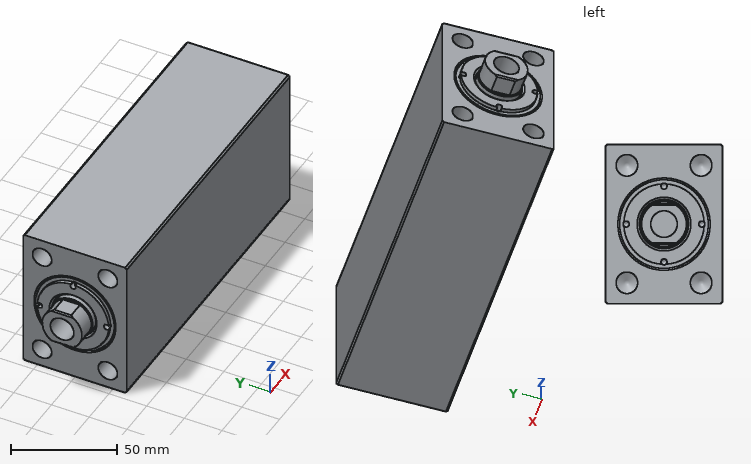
import cadquery as cq

total_length = 178.0
housing_width = 55.0
housing_height = 75.0
front_reach = 13.0
housing_length = total_length - front_reach
edge_chamfer = 0.9

mount_hole_dia = 10.1
mount_hole_depth = 25.0
mount_pitch_y = 34.9
mount_pitch_z = 55.2
drill_tip_ratio = 0.6

cover_radius = 20.8
cover_depth = 35.6
boss_radius = 18.9
boss_height = 2.0
bore_clearance = 0.5
pocket_chamfer = 0.9
bore_chamfer = 1.0

spanner_hole_dia = 2.8
spanner_hole_depth = 3.5
spanner_hole_count = 4
spanner_circle_radius = 17.8

rod_radius = 11.0
shoulder_chamfer = 0.5
tip_radius = rod_radius - shoulder_chamfer
tip_length = 9.5
flat_distance = 19.0
flat_chamfer = 0.7
rod_hole_dia = 12.5
rod_hole_depth = 17.8


def disc(radius, start, end):
    """Round bar along X from start to end."""
    return cq.Workplane("YZ", origin=(start, 0, 0)).circle(radius).extrude(end - start)


def drill(diameter, start, depth, y, z):
    """Drilled hole along +X with a conical tip beyond its full-diameter depth."""
    radius = diameter / 2
    tip = radius * drill_tip_ratio
    outline = (
        cq.Workplane("XY")
        .polyline([(0, 0), (0, radius), (depth, radius), (depth + tip, 0)])
        .close()
    )
    return outline.revolve(360, (0, 0, 0), (1, 0, 0)).translate((start, y, z))


def make_housing():
    """Block with a round pocket for the cover and four blind mounting holes."""
    block = (
        cq.Workplane("XY")
        .box(housing_length, housing_width, housing_height)
        .edges("|X")
        .chamfer(edge_chamfer)
        .translate((housing_length / 2, 0, 0))
    )
    block = block.cut(disc(cover_radius, 0, cover_depth))
    block = block.faces("<X").edges("%CIRCLE").chamfer(pocket_chamfer)
    for side_y in (-1, 1):
        for side_z in (-1, 1):
            hole_y = side_y * mount_pitch_y / 2
            hole_z = side_z * mount_pitch_z / 2
            block = block.cut(drill(mount_hole_dia, 0, mount_hole_depth, hole_y, hole_z))
    return block


def make_cover():
    """Stepped ring around the rod, with a flared bore mouth and spanner holes."""
    ring = disc(cover_radius, 0, cover_depth).union(disc(boss_radius, -boss_height, 0))
    ring = ring.cut(disc(rod_radius + bore_clearance, -boss_height, cover_depth))
    ring = ring.faces("<X").edges(cq.selectors.RadiusNthSelector(0)).chamfer(bore_chamfer)
    hole = drill(spanner_hole_dia, -boss_height, spanner_hole_depth, spanner_circle_radius, 0)
    for index in range(spanner_hole_count):
        angle = index * 360 / spanner_hole_count
        ring = ring.cut(hole.rotate((0, 0, 0), (1, 0, 0), angle))
    return ring


def make_rod():
    """Rod with a turned-down tip, two wrench flats and a flat-bottomed end hole."""
    tip_start = -front_reach
    shoulder = tip_start + tip_length
    body = disc(rod_radius, shoulder, cover_depth).faces("<X").chamfer(shoulder_chamfer)
    flats_envelope = (
        cq.Workplane("XY")
        .box(tip_length, 2 * rod_radius, flat_distance)
        .faces("<X")
        .edges("|Y")
        .chamfer(flat_chamfer)
        .translate((tip_start + tip_length / 2, 0, 0))
    )
    tip = disc(tip_radius, tip_start, shoulder).intersect(flats_envelope)
    rod = body.union(tip)
    return rod.cut(disc(rod_hole_dia / 2, tip_start, tip_start + rod_hole_depth))


housing = make_housing()
cover = make_cover()
rod = make_rod()

result = cq.Compound.makeCompound([housing.val(), cover.val(), rod.val()])